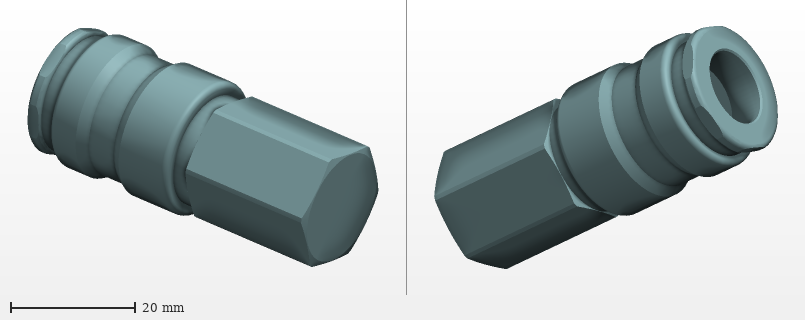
import cadquery as cq
import math

LENGTH = 55.5

HEAD_LENGTH = 2.5
HEAD_FACE_DIAMETER = 20.05
HEAD_EDGE_RADIUS = 1.0
HEAD_FLAT_WIDTH = 21.0
HEAD_TURNED_DIAMETER = 21.9
HEAD_CORNER_ANGLE = 30.0

FRONT_NECK_DIAMETER = 20.0
REAR_NECK_DIAMETER = 18.9

SOCKET_DIAMETER = 12.6
SOCKET_DEPTH = 6.2
SOCKET_MOUTH_CHAMFER = 0.3
NOSE_DIAMETER = 12.1

HEX_START = 31.45
HEX_FLAT_WIDTH = 19.0
HEX_TURNED_DIAMETER = 21.5
HEX_FACE_DIAMETER = 18.65
HEX_CHAMFER_ANGLE = 15.0
HEX_CORNER_ANGLE = 43.7

SLEEVE_START = 5.2
SLEEVE_END = 28.7
SLEEVE_DIAMETER = 23.15
SLEEVE_EDGE_RADIUS = 1.0
WAIST_DIAMETER = 21.0
WAIST_START = 12.45
WAIST_END = 17.4
WAIST_TAPER_LENGTH = 1.85


def cylinder(start, end, diameter):
    """Cylinder on the X axis between two X positions."""
    return cq.Workplane("YZ", origin=(start, 0, 0)).circle(diameter / 2).extrude(end - start)


def hexagon(start, end, flat_width, corner_angle):
    """Hexagonal prism on the X axis; corner_angle turns a corner from +Y towards +Z."""
    corner_diameter = flat_width / math.cos(math.pi / 6)
    prism = cq.Workplane("YZ", origin=(start, 0, 0)).polygon(6, corner_diameter).extrude(end - start)
    return prism.rotate((0, 0, 0), (1, 0, 0), corner_angle)


def revolve_about_x(points):
    """Solid of revolution from (x, radius) points."""
    return cq.Workplane("XY").polyline(points).close().revolve(360, (0, 0, 0), (1, 0, 0))


def make_head():
    """Rounded disc, turned down slightly at the rim and cut with six flats."""
    rounded_diameter = HEAD_FACE_DIAMETER + 2 * HEAD_EDGE_RADIUS
    disc = cylinder(0, HEAD_LENGTH, rounded_diameter).edges().fillet(HEAD_EDGE_RADIUS)
    disc = disc.intersect(cylinder(0, HEAD_LENGTH, HEAD_TURNED_DIAMETER))
    return disc.intersect(hexagon(0, HEAD_LENGTH, HEAD_FLAT_WIDTH, HEAD_CORNER_ANGLE))


def make_wrench_hex():
    """Hexagon with its corners turned round and both ends chamfered."""
    turned_radius = HEX_TURNED_DIAMETER / 2
    face_radius = HEX_FACE_DIAMETER / 2
    chamfer_length = (turned_radius - face_radius) * math.tan(math.radians(HEX_CHAMFER_ANGLE))
    turned = revolve_about_x([
        (HEX_START, 0),
        (HEX_START, face_radius),
        (HEX_START + chamfer_length, turned_radius),
        (LENGTH - chamfer_length, turned_radius),
        (LENGTH, face_radius),
        (LENGTH, 0),
    ])
    return turned.intersect(hexagon(HEX_START, LENGTH, HEX_FLAT_WIDTH, HEX_CORNER_ANGLE))


def make_socket():
    """Cutter for the socket and its mouth chamfer."""
    mouth_radius = SOCKET_DIAMETER / 2 + SOCKET_MOUTH_CHAMFER
    return revolve_about_x([
        (0, 0),
        (0, mouth_radius),
        (SOCKET_MOUTH_CHAMFER, SOCKET_DIAMETER / 2),
        (SOCKET_DEPTH, SOCKET_DIAMETER / 2),
        (SOCKET_DEPTH, 0),
    ])


def make_sleeve():
    """Round grip with rounded ends and a tapered waist."""
    radius = SLEEVE_DIAMETER / 2
    waist_radius = WAIST_DIAMETER / 2
    sleeve = cylinder(SLEEVE_START, SLEEVE_END, SLEEVE_DIAMETER).edges().fillet(SLEEVE_EDGE_RADIUS)
    waist_groove = revolve_about_x([
        (WAIST_START - WAIST_TAPER_LENGTH, radius),
        (WAIST_START, waist_radius),
        (WAIST_END, waist_radius),
        (WAIST_END + WAIST_TAPER_LENGTH, radius),
    ])
    return sleeve.cut(waist_groove)


def make_housing():
    """Head, front neck and sleeve, bored for the socket and the fitting."""
    neck = cylinder(HEAD_LENGTH, SLEEVE_START, FRONT_NECK_DIAMETER)
    housing = make_head().union(neck).union(make_sleeve())
    nose_bore = cylinder(SOCKET_DEPTH, SLEEVE_END, NOSE_DIAMETER)
    return housing.cut(make_socket()).cut(nose_bore)


def make_fitting():
    """Nose inside the housing, rear neck and wrench hexagon."""
    nose = cylinder(SOCKET_DEPTH, SLEEVE_END, NOSE_DIAMETER)
    neck = cylinder(SLEEVE_END, HEX_START, REAR_NECK_DIAMETER)
    return nose.union(neck).union(make_wrench_hex())


housing = make_housing()
fitting = make_fitting()

result = cq.Compound.makeCompound([housing.val(), fitting.val()])